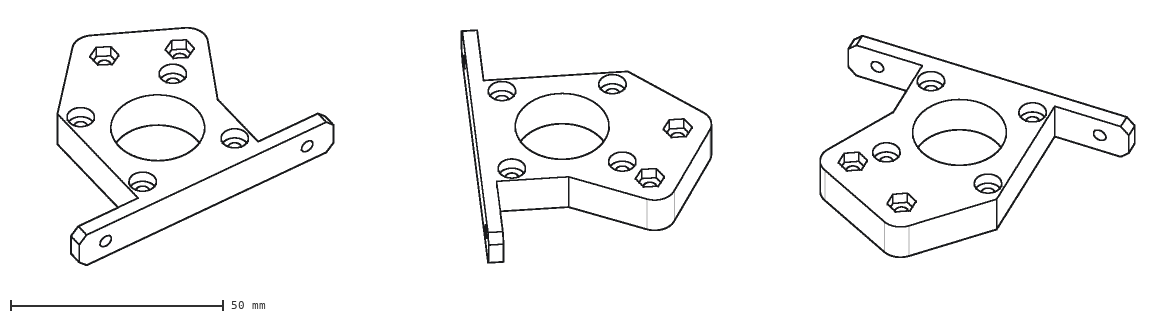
import cadquery as cq

height = 10.0
body_half_width = 17.0

flange_length = 72.0
flange_thickness = 3.5
flange_chamfer = 2.1
flange_hole_y = 28.5

bore_diameter = 22.0
screw_diameter = 3.2
head_diameter = 6.4
head_depth = 3.0
screw_offset = 13.0

arm_upper_corner = (-22.0, 28.3)
arm_lower_corner = (-36.2, 0.9)
arm_lower_root_x = -body_half_width
arm_corner_radius = 5.0

nut_across_corners = 6.85
nut_depth = 3.0
nut_centres = [(-19.0, 19.0), (-27.0, 3.0)]


def make_body():
    """Motor plate and arm as one prism, with the arm's outer corners rounded."""
    outline = [
        (body_half_width, -body_half_width),
        (body_half_width, body_half_width),
        (0, body_half_width),
        arm_upper_corner,
        arm_lower_corner,
        (arm_lower_root_x, -body_half_width),
    ]
    body = cq.Workplane("XY").polyline(outline).close().extrude(height)
    for x, y in (arm_upper_corner, arm_lower_corner):
        corner = cq.selectors.NearestToPointSelector((x, y, height / 2))
        body = body.edges(corner).fillet(arm_corner_radius)
    return body


def make_flange():
    """Chamfered strip along Y with one mounting hole near each end."""
    return (
        cq.Workplane("YZ", origin=(body_half_width, 0, height / 2))
        .rect(flange_length, height)
        .extrude(flange_thickness)
        .edges("|X")
        .chamfer(flange_chamfer)
        .faces(">X")
        .workplane(origin=(0, 0, height / 2))
        .pushPoints([(-flange_hole_y, 0), (flange_hole_y, 0)])
        .hole(screw_diameter)
    )


def cut_bore_and_screws(part):
    """Central bore and four counterbored motor screw holes."""
    top = part.faces(">Z").workplane(origin=(0, 0, height))
    part = top.hole(bore_diameter)
    top = part.faces(">Z").workplane(origin=(0, 0, height))
    return top.rect(2 * screw_offset, 2 * screw_offset, forConstruction=True).vertices().cboreHole(
        screw_diameter, head_diameter, head_depth
    )


def cut_nut_holes(part):
    """Screw holes in the arm, each with a hexagonal nut pocket on top."""
    top = part.faces(">Z").workplane(origin=(0, 0, height))
    part = top.pushPoints(nut_centres).hole(screw_diameter)
    top = part.faces(">Z").workplane(origin=(0, 0, height))
    return top.pushPoints(nut_centres).polygon(6, nut_across_corners).cutBlind(-nut_depth)


result = make_body().union(make_flange())
result = cut_bore_and_screws(result)
result = cut_nut_holes(result)